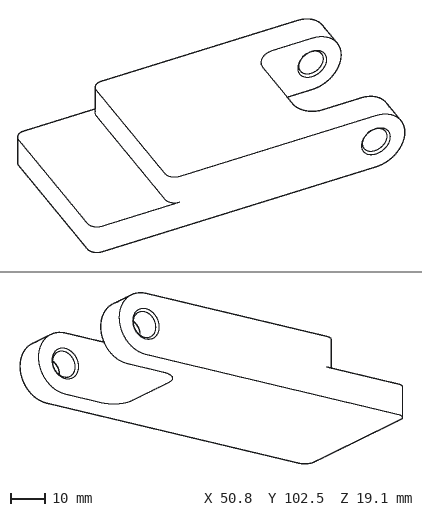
import cadquery as cq

width = 50.8
length = 102.5
height = 19.1

tongue_length = 25.4
tongue_height = height / 2
corner_radius = 3.2

ear_radius = height / 2
slot_width = 31.8
slot_depth = 28.7
slot_corner_radius = 6.4
hole_diameter = 8.0
hole_chamfer = 0.7

front_y = -length / 2
back_y = length / 2
hinge_y = back_y - ear_radius
hinge_z = height / 2


def rounded_layer(start_y, base_z, thickness):
    """Slab from start_y to the hinge axis with rounded front corners."""
    slab_length = hinge_y - start_y
    slab = cq.Workplane("XY").box(width, slab_length, thickness, centered=(True, False, False))
    slab = slab.edges("|Z and <Y").fillet(corner_radius)
    return slab.translate((0, start_y, base_z))


def cross_cylinder(radius, start_x, span):
    """Cylinder on the hinge axis, running along +X from start_x."""
    return cq.Workplane(cq.Solid.makeCylinder(
        radius, span, cq.Vector(start_x, hinge_y, hinge_z), cq.Vector(1, 0, 0)))


def chamfer_cone(face_x, direction):
    """Countersink at an ear face, narrowing into the ear along the given X direction."""
    hole_radius = hole_diameter / 2
    return cq.Workplane(cq.Solid.makeCone(
        hole_radius + hole_chamfer, hole_radius, hole_chamfer,
        cq.Vector(face_x, hinge_y, hinge_z), cq.Vector(direction, 0, 0)))


lower_layer = rounded_layer(front_y, 0, tongue_height)
upper_layer = rounded_layer(front_y + tongue_length, tongue_height, height - tongue_height)
body = lower_layer.union(upper_layer)
body = body.union(cross_cylinder(ear_radius, -width / 2, width))

slot = cq.Workplane("XY").box(slot_width, slot_depth, height, centered=(True, False, False))
slot = slot.edges("|Z and <Y").fillet(slot_corner_radius)
body = body.cut(slot.translate((0, back_y - slot_depth, 0)))

body = body.cut(cross_cylinder(hole_diameter / 2, -width / 2, width))
for side in (-1, 1):
    body = body.cut(chamfer_cone(side * width / 2, -side))
    body = body.cut(chamfer_cone(side * slot_width / 2, side))

result = body